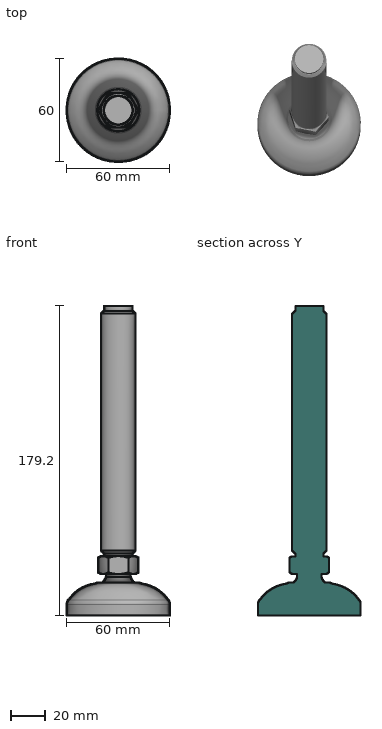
import cadquery as cq
import math

total_height = 179.2

foot_radius = 30.0
foot_edge_round = 0.5
foot_wall_top = 6.5
shoulder_radius = 29.0
shoulder_height = 9.0
dome_mid_radius = 23.3
dome_mid_height = 14.7
dome_rim_radius = 13.3
dome_rim_height = 18.6
foot_top_radius = 12.2
foot_top_height = 19.2

neck_radius = 14.3 / 2
flare_radius = 18.3 / 2
flare_top_height = 22.4
flare_sag = 0.27

hex_across_flats = 20.0
hex_bottom = 24.0
hex_top = 34.4
hex_chamfer_angle = 30.0

collar_radius = 16.5 / 2
shaft_radius = 20.0 / 2
shaft_bottom = 35.8
tip_radius = 16.5 / 2
tip_length = 2.9
lower_chamfer = shaft_radius - collar_radius
upper_chamfer = 1.6


def make_foot():
    """Disc with a rounded shoulder and a domed top."""
    corner = foot_edge_round * (1 - math.sqrt(0.5))
    rise = shoulder_height - foot_wall_top
    return (
        cq.Workplane("XZ")
        .lineTo(foot_radius - foot_edge_round, 0)
        .threePointArc((foot_radius - corner, corner), (foot_radius, foot_edge_round))
        .lineTo(foot_radius, foot_wall_top)
        .tangentArcPoint((shoulder_radius - foot_radius, rise))
        .threePointArc((dome_mid_radius, dome_mid_height), (dome_rim_radius, dome_rim_height))
        .lineTo(foot_top_radius, foot_top_height)
        .lineTo(0, foot_top_height)
        .close()
        .revolve(360, (0, 0, 0), (0, 1, 0))
    )


def make_spindle():
    """Flared neck, collar, chamfered shaft and reduced tip in one turned profile."""
    tip_bottom = total_height - tip_length
    hex_middle = (hex_bottom + hex_top) / 2
    return (
        cq.Workplane("XZ")
        .moveTo(0, foot_top_height)
        .lineTo(flare_radius, foot_top_height)
        .sagittaArc((neck_radius, flare_top_height), flare_sag)
        .lineTo(neck_radius, hex_middle)
        .lineTo(collar_radius, hex_middle)
        .lineTo(collar_radius, shaft_bottom)
        .lineTo(shaft_radius, shaft_bottom + lower_chamfer)
        .lineTo(shaft_radius, tip_bottom - upper_chamfer)
        .lineTo(shaft_radius - upper_chamfer, tip_bottom)
        .lineTo(tip_radius, tip_bottom)
        .lineTo(tip_radius, total_height)
        .lineTo(0, total_height)
        .close()
        .revolve(360, (0, 0, 0), (0, 1, 0))
    )


def make_hexagon():
    """Wrench hexagon whose corners are trimmed by a double-coned blank."""
    flat_radius = hex_across_flats / 2
    corner_radius = flat_radius / math.cos(math.radians(30))
    drop = (corner_radius - flat_radius) * math.tan(math.radians(hex_chamfer_angle))
    prism = (
        cq.Workplane("XY")
        .workplane(offset=hex_bottom)
        .polygon(6, 2 * corner_radius)
        .extrude(hex_top - hex_bottom)
    )
    blank = (
        cq.Workplane("XZ")
        .moveTo(0, hex_bottom)
        .lineTo(flat_radius, hex_bottom)
        .lineTo(corner_radius, hex_bottom + drop)
        .lineTo(corner_radius, hex_top - drop)
        .lineTo(flat_radius, hex_top)
        .lineTo(0, hex_top)
        .close()
        .revolve(360, (0, 0, 0), (0, 1, 0))
    )
    return prism.intersect(blank)


result = make_foot().union(make_spindle()).union(make_hexagon())